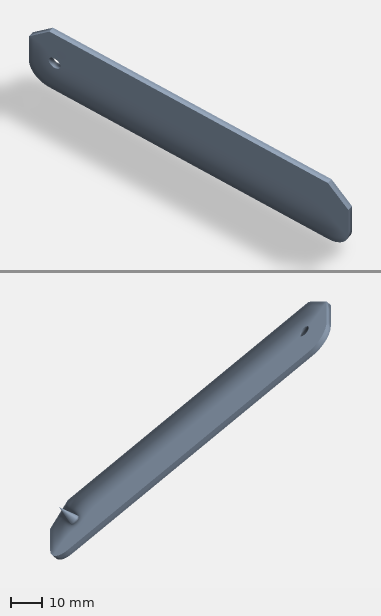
import cadquery as cq

plate_length = 124.0
plate_height = 28.0
plate_thickness = 2.0
top_chamfer = 7.9
bottom_radius = 7.9

pin_base_diameter = 4.6
pin_length = 9.0

socket_front_diameter = 4.6
socket_back_diameter = 4.0

fastener_height = 13.5
socket_x = 9.9
pin_x = 113.0


def tapered_round(x, front_diameter, back_diameter, length):
    """Cone or truncated cone along +Y, starting on the front face at the fastener height."""
    base_centre = cq.Vector(x, 0, fastener_height)
    along_y = cq.Vector(0, 1, 0)
    return cq.Solid.makeCone(front_diameter / 2, back_diameter / 2, length, base_centre, along_y)


def make_pin():
    return tapered_round(pin_x, pin_base_diameter, 0, pin_length)


def make_plate():
    """Plate with chamfered top corners and rounded bottom corners, the socket and the pin's seat."""
    blank = cq.Workplane("XY").box(plate_length, plate_thickness, plate_height, centered=False)
    blank = blank.edges("|Y and >Z").chamfer(top_chamfer)
    blank = blank.edges("|Y and <Z").fillet(bottom_radius)
    socket = tapered_round(socket_x, socket_front_diameter, socket_back_diameter, plate_thickness)
    return blank.cut(cq.Workplane(socket)).cut(cq.Workplane(make_pin()))


plate = make_plate()
pin = make_pin()

result = cq.Compound.makeCompound([plate.solids().val(), pin])